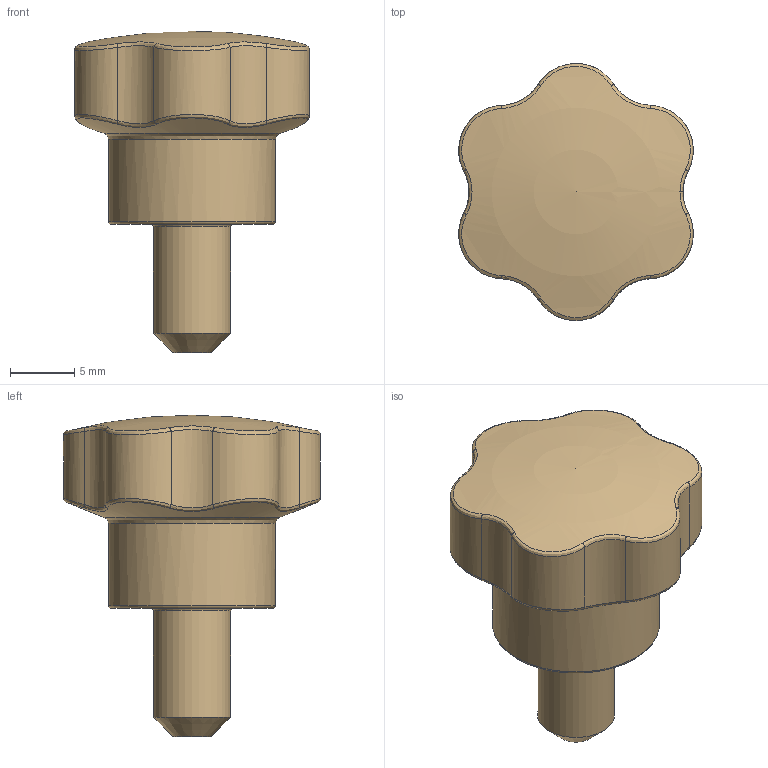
import cadquery as cq
import math

total_height = 25.0
stud_length = 10.0

stud_radius = 3.0
tip_chamfer = 1.5

collar_radius = 6.5
collar_top_height = 20.0

lobe_count = 6
head_radius = 10.0
lobe_radius = 3.5
hollow_radius = 3.5
dome_radius = 40.0
underside_radius = 22.5
underside_apex_height = 16.0

head_edge_fillet = 0.3
neck_fillet = 0.5
collar_edge_fillet = 0.2
stud_root_fillet = 0.2

joint_margin = 0.05

lobe_pitch = 2 * math.pi / lobe_count
lobe_center_radius = head_radius - lobe_radius
center_gap = lobe_radius + hollow_radius
half_chord = lobe_center_radius * math.sin(lobe_pitch / 2)
hollow_center_radius = (
    lobe_center_radius * math.cos(lobe_pitch / 2) + math.sqrt(center_gap**2 - half_chord**2)
)
valley_radius = hollow_center_radius - hollow_radius


def polar(radius, angle):
    """Point in the XY plane at the given distance and angle from the axis."""
    return (radius * math.cos(angle), radius * math.sin(angle))


def tangent_point(lobe_angle, hollow_angle):
    """Point where a lobe arc runs smoothly into the neighbouring hollow arc."""
    lobe_x, lobe_y = polar(lobe_center_radius, lobe_angle)
    hollow_x, hollow_y = polar(hollow_center_radius, hollow_angle)
    share = lobe_radius / center_gap
    return (lobe_x + share * (hollow_x - lobe_x), lobe_y + share * (hollow_y - lobe_y))


def star_prism():
    """Upright prism with the lobed outline; the first lobe points along +Y."""
    first_lobe = math.pi / 2
    outline = cq.Workplane("XY").workplane(offset=stud_length)
    outline = outline.moveTo(*tangent_point(first_lobe, first_lobe - lobe_pitch / 2))
    for index in range(lobe_count):
        lobe = first_lobe + index * lobe_pitch
        hollow = lobe + lobe_pitch / 2
        next_lobe = lobe + lobe_pitch
        outline = outline.threePointArc(polar(head_radius, lobe), tangent_point(lobe, hollow))
        outline = outline.threePointArc(polar(valley_radius, hollow), tangent_point(next_lobe, hollow))
    return outline.close().extrude(total_height - stud_length)


def make_head():
    """Lobed head with a domed top, a bulging underside and rounded rims."""
    dome = cq.Workplane("XY").sphere(dome_radius).translate((0, 0, total_height - dome_radius))
    bulge_center_height = underside_apex_height + underside_radius
    bulge = cq.Workplane("XY").sphere(underside_radius).translate((0, 0, bulge_center_height))
    head = star_prism().intersect(dome).intersect(bulge)
    return head.faces("not(#Z)").edges("not(|Z)").fillet(head_edge_fillet)


def make_collar():
    """Plain cylinder reaching up into the head, with a rounded lower rim."""
    collar = cq.Workplane("XY").workplane(offset=stud_length).circle(collar_radius)
    collar = collar.extrude(collar_top_height - stud_length)
    return collar.faces("<Z").edges().fillet(collar_edge_fillet)


def make_stud():
    """Round stud ending in a chamfered tip."""
    stud = cq.Workplane("XY").circle(stud_radius).extrude(stud_length)
    return stud.faces("<Z").edges().chamfer(tip_chamfer)


def round_joint(body, radius, joint_height, fillet):
    """Fillet the circular inner corner where a cylinder meets the part above it."""
    low_corner = (-radius - joint_margin, -radius - joint_margin, joint_height - joint_margin)
    high_corner = (radius + joint_margin, radius + joint_margin, joint_height + joint_margin)
    joint = cq.selectors.BoxSelector(low_corner, high_corner, boundingbox=True)
    return body.edges(joint).fillet(fillet)


underside_rise = underside_radius - math.sqrt(underside_radius**2 - collar_radius**2)
neck_height = underside_apex_height + underside_rise

knob = make_head().union(make_collar())
knob = round_joint(knob, collar_radius, neck_height, neck_fillet)
knob = knob.union(make_stud())
result = round_joint(knob, stud_radius, stud_length, stud_root_fillet)